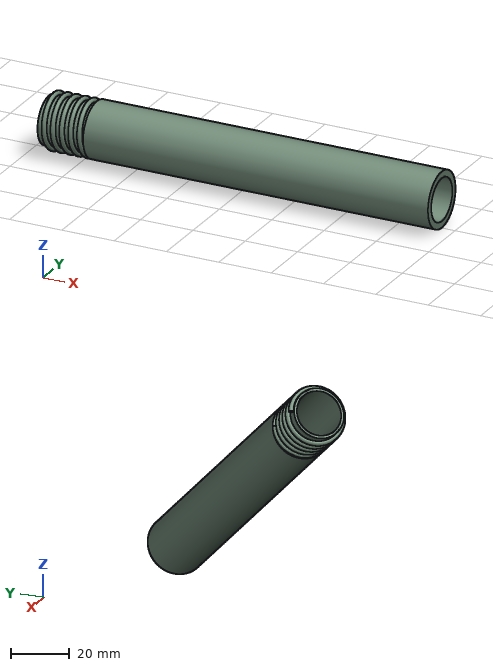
import cadquery as cq

tube_length = 150.0
tube_diameter = 21.0
bore_diameter = 16.0
neck_diameter = 18.0
neck_length = 18.25

rib_radius = 0.9
thread_start = 1.25
thread_pitch = 3.375
thread_turns = 5
thread_length = thread_turns * thread_pitch
helix_radius = tube_diameter / 2 - rib_radius


def axial_plane(x):
    """Cross-section plane at x, with local X along +Y and local Z along +X."""
    return cq.Plane(origin=(x, 0, 0), xDir=(0, 1, 0), normal=(1, 0, 0))


def make_cylinder(diameter, x_start, x_end):
    """Solid cylinder about the tube axis between two stations."""
    section = cq.Workplane(axial_plane(x_start)).circle(diameter / 2)
    return section.extrude(x_end - x_start)


def make_thread():
    """Round rib swept along a helix from the +Y side, running out into the shoulder."""
    helix = cq.Wire.makeHelix(thread_pitch, thread_length, helix_radius)
    profile = cq.Workplane("XZ").center(helix_radius, 0).circle(rib_radius)
    rib = profile.sweep(cq.Workplane(obj=helix), isFrenet=True)
    placement = cq.Location(axial_plane(thread_start))
    return cq.Workplane(obj=rib.val().moved(placement))


neck = make_cylinder(neck_diameter, 0, neck_length)
body = make_cylinder(tube_diameter, neck_length, tube_length)
bore = make_cylinder(bore_diameter, 0, tube_length)

result = neck.union(body).union(make_thread()).cut(bore)